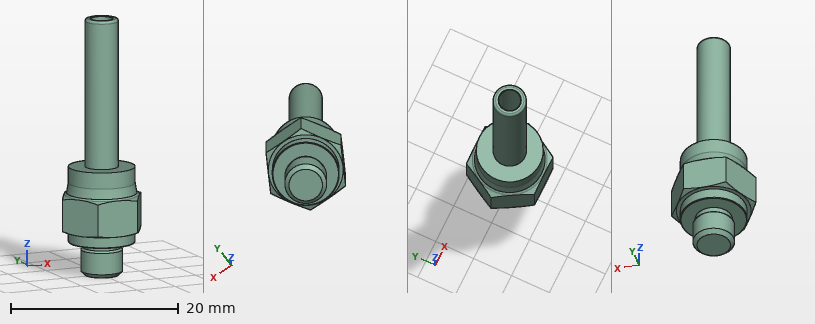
import cadquery as cq
import math

total_height = 31.2
thread_top = 3.1
neck_top = 4.0
hex_bottom = 5.4
hex_top = 9.83
cone_bottom = 10.0
cone_top = 11.23
body_top = 13.2

thread_radius = 2.5
neck_radius = 2.25
body_radius = 4.0
cone_radius = 4.2
hex_crown_radius = 4.45
tube_radius = 2.0
bore_radius = 1.3

across_flats = 9.0
hex_corner_radius = across_flats / math.sqrt(3)
crown_drop = 0.28

tip_chamfer = 0.5
thread_runout = thread_radius - neck_radius
collar_chamfer = 0.1
tube_rounding = 0.3
bore_chamfer = 0.05

bore_floor = hex_top


def make_turned_body():
    """Revolve the stepped outline from the threaded end up to the tube tip."""
    return (
        cq.Workplane("XZ")
        .lineTo(thread_radius - tip_chamfer, 0)
        .lineTo(thread_radius, tip_chamfer)
        .lineTo(thread_radius, thread_top)
        .lineTo(neck_radius, thread_top + thread_runout)
        .lineTo(neck_radius, neck_top)
        .lineTo(body_radius - collar_chamfer, neck_top)
        .lineTo(body_radius, neck_top + collar_chamfer)
        .lineTo(body_radius, hex_bottom)
        .lineTo(hex_crown_radius, hex_bottom)
        .lineTo(hex_crown_radius, hex_top)
        .lineTo(cone_radius, cone_bottom)
        .lineTo(body_radius, cone_top)
        .lineTo(body_radius, body_top)
        .lineTo(tube_radius, body_top)
        .lineTo(tube_radius, total_height - tube_rounding)
        .radiusArc((tube_radius - tube_rounding, total_height), -tube_rounding)
        .lineTo(0, total_height)
        .close()
        .revolve(360, (0, 0, 0), (0, 1, 0))
    )


def make_hexagon():
    """Hexagonal prism whose corners are turned to a shallow cone at both ends."""
    prism = (
        cq.Workplane("XY", origin=(0, 0, hex_bottom))
        .polygon(6, 2 * hex_corner_radius)
        .extrude(hex_top - hex_bottom)
    )
    crowned_blank = (
        cq.Workplane("XZ", origin=(0, 0, hex_bottom))
        .lineTo(hex_crown_radius, 0)
        .lineTo(hex_corner_radius, crown_drop)
        .lineTo(hex_corner_radius, hex_top - hex_bottom - crown_drop)
        .lineTo(hex_crown_radius, hex_top - hex_bottom)
        .lineTo(0, hex_top - hex_bottom)
        .close()
        .revolve(360, (0, 0, 0), (0, 1, 0))
    )
    return prism.intersect(crowned_blank)


def make_bore():
    """Blind bore entering from the tube tip, with a small lead-in chamfer."""
    return (
        cq.Workplane("XZ", origin=(0, 0, bore_floor))
        .lineTo(bore_radius, 0)
        .lineTo(bore_radius, total_height - bore_floor - bore_chamfer)
        .lineTo(bore_radius + bore_chamfer, total_height - bore_floor)
        .lineTo(0, total_height - bore_floor)
        .close()
        .revolve(360, (0, 0, 0), (0, 1, 0))
    )


result = make_turned_body().union(make_hexagon()).cut(make_bore())